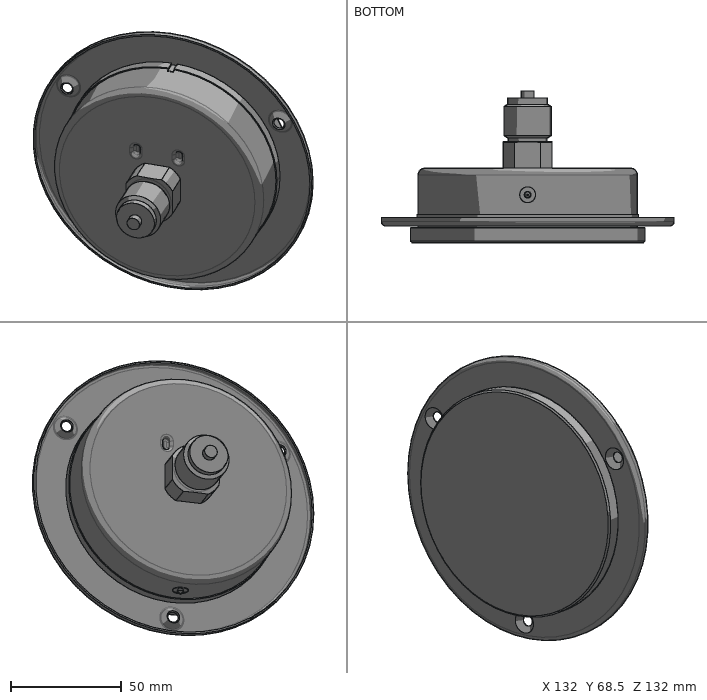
import cadquery as cq
import math


bezel_radius = 105.9 / 2
bezel_back = -7.0
bezel_front_chamfer = 0.8
bezel_back_chamfer = 0.4

case_radius = 99 / 2
case_back = -33.7
case_fillet = 3.2
collar_radius = 50.0
collar_back = -12.8

flange_radius = 132 / 2
sheet = 0.8
flange_front = -7.5
flange_back = flange_front - sheet
rim_back = -11.5
rim_bend_radius = 2.0
rim_inner_radius = flange_radius - sheet

screw_circle_radius = 58.0
screw_angles = (30, 150, 270)
dimple_lip_radius = 6.0 / 2
dimple_base_radius = 5.4
dimple_base_blend = 0.3
dimple_blend_radius = dimple_base_radius + dimple_base_blend

slot_spacing = 20.0
slot_height = 16.6
slot_width = 3.2
slot_length = 5.5
slot_depth = 2.5
slot_mouth_width = 6.0
slot_mouth_fillet = (slot_mouth_width - slot_width) / 2
slot_floor_fillet = 0.99

wrench_flats = 22.0
wrench_corner_radius = 25.0 / 2
wrench_face_radius = 21.0 / 2
wrench_chamfer_length = 0.46
wrench_back = -45.7
neck_radius = 17.5 / 2
neck_back = -47.1
thread_radius = 21.4 / 2
thread_start = -48.3
thread_back = -62.5
thread_chamfer_length = 1.0
tip_radius = 18.0 / 2
tip_back = -65.3
pin_radius = 6.0 / 2
pin_back = -68.5

keyway_width = 2.6
keyway_floor = 49.1
keyway_back = -14.5

vent_y = -21.6
vent_seat_radius = 3.5
vent_seat_level = 49.1
vent_stem_radius = 2.5 / 2
vent_cone_radius = 3.0 / 2
vent_cone_base = 49.9
vent_tip = 51.1
vent_tip_radius = 0.33
vent_root = 47.5


def turn(outline):
    """Revolve a closed (radius, y) outline around the Y axis."""
    return outline.close().revolve(360, (0, 0, 0), (0, 1, 0))


def disc(radius, front, back):
    """Solid cylinder on the Y axis between two Y positions."""
    return cq.Workplane("XZ", origin=(0, front, 0)).circle(radius).extrude(front - back)


def make_case():
    """Bezel ring, rounded case and the collar behind the flange."""
    bezel = disc(bezel_radius, 0, bezel_back)
    bezel = bezel.faces(">Y").chamfer(bezel_front_chamfer)
    bezel = bezel.faces("<Y").chamfer(bezel_back_chamfer)
    case = disc(case_radius, bezel_back, case_back).faces("<Y").edges().fillet(case_fillet)
    collar = disc(collar_radius, flange_back, collar_back)
    return bezel.union(case).union(collar)


def make_dimple():
    """45-degree conical dimple of sheet thickness, on the Y axis."""
    diagonal = math.sqrt(0.5)
    half_angle = math.radians(45 / 2)
    lip_y = flange_back - (dimple_base_radius - dimple_lip_radius)
    sheet_step = sheet * diagonal
    front_radius = dimple_base_radius - sheet * math.tan(half_angle)
    blend_step = dimple_base_blend * diagonal
    return turn(
        cq.Workplane("XY")
        .moveTo(dimple_blend_radius, flange_front)
        .lineTo(front_radius, flange_front)
        .lineTo(dimple_lip_radius - sheet_step, lip_y + sheet_step)
        .lineTo(dimple_lip_radius, lip_y)
        .lineTo(dimple_base_radius - blend_step, flange_back - blend_step)
        .tangentArcPoint((dimple_blend_radius, flange_back), relative=False)
    )


def make_flange():
    """Dished flange with three dimpled screw holes."""
    inner_bend = rim_bend_radius - sheet
    flange = turn(
        cq.Workplane("XY")
        .moveTo(0, flange_front)
        .lineTo(flange_radius - rim_bend_radius, flange_front)
        .tangentArcPoint((flange_radius, flange_front - rim_bend_radius), relative=False)
        .lineTo(flange_radius, rim_back)
        .lineTo(rim_inner_radius, rim_back)
        .lineTo(rim_inner_radius, flange_back - inner_bend)
        .tangentArcPoint((rim_inner_radius - inner_bend, flange_back), relative=False)
        .lineTo(0, flange_back)
    )
    opening = disc(dimple_blend_radius, flange_front, flange_back)
    dimple = make_dimple()
    for angle in screw_angles:
        x = screw_circle_radius * math.cos(math.radians(angle))
        z = screw_circle_radius * math.sin(math.radians(angle))
        flange = flange.cut(opening.translate((x, 0, z)))
        flange = flange.union(dimple.translate((x, 0, z)))
    return flange


def cut_slots(body):
    """Cut both upright round-ended slots and round their floors and mouths."""
    for side in (-1, 1):
        slot = (
            cq.Workplane("XZ", origin=(side * slot_spacing / 2, case_back, slot_height))
            .slot2D(slot_length, slot_width, 90)
            .extrude(-slot_depth)
            .faces(">Y")
            .edges()
            .fillet(slot_floor_fillet)
        )
        body = body.cut(slot)
    reach_x = (slot_spacing + slot_length) / 2
    mouths = cq.selectors.BoxSelector(
        (-reach_x, case_back - slot_depth, slot_height - slot_length),
        (reach_x, case_back + slot_depth, slot_height + slot_length),
    )
    return body.faces("<Y").edges(mouths).fillet(slot_mouth_fillet)


def make_connection():
    """Square wrench section, relief neck, plain thread, tip and pin."""
    wrench = (
        cq.Workplane("XZ", origin=(0, case_back, 0))
        .rect(wrench_flats, wrench_flats)
        .extrude(case_back - wrench_back)
    )
    rounding = turn(
        cq.Workplane("XY")
        .moveTo(0, case_back)
        .lineTo(wrench_corner_radius, case_back)
        .lineTo(wrench_corner_radius, wrench_back + wrench_chamfer_length)
        .lineTo(wrench_face_radius, wrench_back)
        .lineTo(0, wrench_back)
    )
    stem = turn(
        cq.Workplane("XY")
        .moveTo(0, case_back)
        .lineTo(neck_radius, case_back)
        .lineTo(neck_radius, neck_back)
        .lineTo(thread_radius, thread_start)
        .lineTo(thread_radius, thread_back + thread_chamfer_length)
        .lineTo(tip_radius, thread_back)
        .lineTo(tip_radius, tip_back)
        .lineTo(pin_radius, tip_back)
        .lineTo(pin_radius, pin_back)
        .lineTo(0, pin_back)
    )
    return wrench.intersect(rounding).union(stem)


def cut_keyway(body):
    """Cut the narrow groove along the top of the case, from the bezel backwards."""
    groove = cq.Workplane("XY").box(
        keyway_width,
        bezel_back - keyway_back,
        collar_radius - keyway_floor,
        centered=(True, False, False),
    )
    return body.cut(groove.translate((0, keyway_back, keyway_floor)))


def add_vent_plug(body):
    """Flat seat under the case with a small stem and a blunt cone below it."""
    seat = (
        cq.Workplane("XY", origin=(0, vent_y, -case_radius))
        .circle(vent_seat_radius)
        .extrude(case_radius - vent_seat_level)
    )
    plug = (
        cq.Workplane("XZ")
        .moveTo(0, -vent_root)
        .lineTo(vent_stem_radius, -vent_root)
        .lineTo(vent_stem_radius, -vent_cone_base)
        .lineTo(vent_cone_radius, -vent_cone_base)
        .lineTo(vent_tip_radius, -vent_tip)
        .lineTo(0, -vent_tip)
        .close()
        .revolve(360, (0, 0, 0), (0, 1, 0))
        .translate((0, vent_y, 0))
    )
    return body.cut(seat).union(plug)


case = cut_slots(make_case())
case = cut_keyway(case)
case = add_vent_plug(case)
result = case.union(make_flange()).union(make_connection())